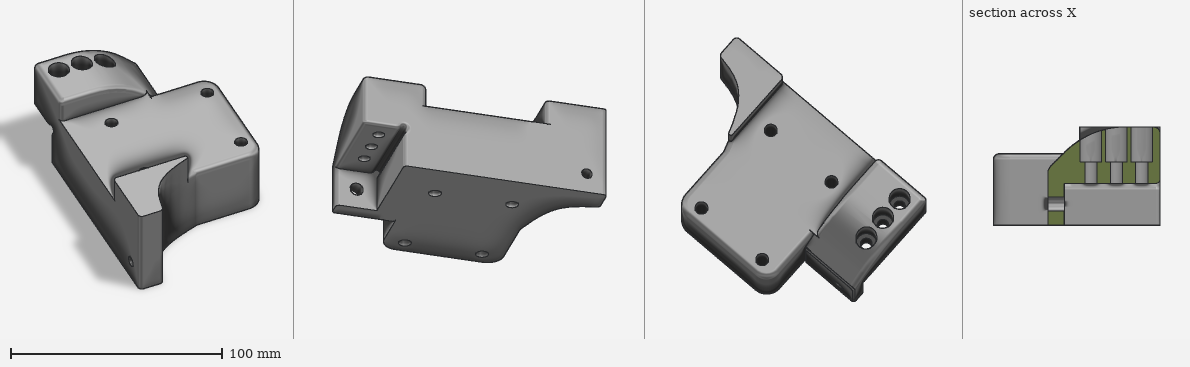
import cadquery as cq
import math

LENGTH = 120.0
DEPTH = 79.0
HEIGHT = 46.5
DECK_Z = 34.0

BODY_LEFT = 31.1
BODY_RIGHT = 90.0
BODY_END = 96.0
BODY_CORNER_RADIUS = 8.0
TOP_FILLET = 3.0
EDGE_FILLET = 2.0
TIP_FILLET = 1.0
BACK_CHAMFER = 1.0

FLANK_START = (BODY_RIGHT, 43.5)
FLANK_MIDDLE = [(93.7, 32.6), (101.6, 19.4)]
FLANK_END = (LENGTH, 12.4)
FLANK_START_DIRECTION = (1.0, -3.1)
FLANK_END_DIRECTION = (1.0, -0.15)
WING_DEPTH = 38.2

JOINT_OVERLAP = 3.6

BLOCK_DEPTH = 53.2
CREST_Y = 16.4
CREST_RADIUS = 40.8
SLOPE_ANGLE = math.radians(45)

POCKET_WIDTH = 19.9
POCKET_DEPTH = 45.4
POCKET_HEIGHT = 19.8
RELIEF_DIAMETER = 3.2
RELIEF_Z = POCKET_HEIGHT + 0.5
RELIEF_BLEND = 3.0
RIM_FILLET = 1.9

DECK_HOLE_DIAMETER = 6.0
DECK_HOLE_X = (41.5, 79.5)
DECK_HOLE_Y = (21.6, 71.5)
SIDE_HOLE_Z = 10.1
SIDE_HOLE_INSET = 10.0
WALL_HOLE_DIAMETER = 6.4
WING_HOLE_DIAMETER = 5.0
BLOCK_HOLE_DIAMETER = 5.5
COUNTERBORE_DIAMETER = 10.0
COUNTERBORE_FLOOR_Z = 30.0
BLOCK_HOLE_FIRST_Y = 8.8
BLOCK_HOLE_PITCH = 12.0
BLOCK_HOLE_COUNT = 3

SLOPE_TOP_Y = CREST_Y + CREST_RADIUS * math.sin(SLOPE_ANGLE)
SLOPE_TOP_Z = HEIGHT - CREST_RADIUS * (1 - math.cos(SLOPE_ANGLE))
SLOPE_FOOT_Z = SLOPE_TOP_Z - (BLOCK_DEPTH - SLOPE_TOP_Y) * math.tan(SLOPE_ANGLE)
DECK_MEETS_SLOPE_Y = SLOPE_TOP_Y + (SLOPE_TOP_Z - DECK_Z) / math.tan(SLOPE_ANGLE)


def box(x0, x1, y0, y1, z0, z1):
    """Axis-aligned box between two opposite corners."""
    return cq.Workplane("XY").box(x1 - x0, y1 - y0, z1 - z0, centered=False).translate((x0, y0, z0))


def edge_near(x, y, z):
    return cq.selectors.NearestToPointSelector((x, y, z))


def plan_prism(height):
    """Plan of the body and wing, extruded, with its upright edges rounded."""
    prism = (
        cq.Workplane("XY")
        .moveTo(BODY_LEFT, 0)
        .lineTo(LENGTH, 0)
        .lineTo(*FLANK_END)
        .spline(
            FLANK_MIDDLE[::-1] + [FLANK_START],
            tangents=[
                [-c for c in FLANK_END_DIRECTION],
                [-c for c in FLANK_START_DIRECTION],
            ],
            includeCurrent=True,
        )
        .lineTo(BODY_RIGHT, DEPTH)
        .lineTo(BODY_LEFT, DEPTH)
        .close()
        .extrude(height)
    )
    mid = height / 2
    for x, y in ((BODY_LEFT, DEPTH), (BODY_RIGHT, DEPTH)):
        prism = prism.edges(edge_near(x, y, mid)).fillet(BODY_CORNER_RADIUS)
    for x, y in ((LENGTH, 0), FLANK_END, FLANK_START):
        prism = prism.edges(edge_near(x, y, mid)).fillet(EDGE_FILLET)
    return prism


def make_body():
    """Body up to the deck, rounded along the left, back and flank; it ends inside the wing."""
    body = plan_prism(DECK_Z).intersect(box(BODY_LEFT, BODY_END, 0, DEPTH, 0, DECK_Z))
    back_edge = edge_near((BODY_LEFT + BODY_RIGHT) / 2, DEPTH, DECK_Z)
    return body.edges(back_edge).fillet(TOP_FILLET)


def make_wing():
    wing = plan_prism(HEIGHT).intersect(box(BODY_RIGHT, LENGTH, 0, WING_DEPTH, 0, HEIGHT))
    wing = wing.edges(edge_near(BODY_RIGHT, 0, HEIGHT / 2)).fillet(EDGE_FILLET)
    return wing.edges(edge_near(BODY_RIGHT, WING_DEPTH, HEIGHT / 2)).fillet(TIP_FILLET)


def make_sharp_block():
    half = SLOPE_ANGLE / 2
    crest_mid = (
        CREST_Y + CREST_RADIUS * math.sin(half),
        HEIGHT - CREST_RADIUS * (1 - math.cos(half)),
    )
    return (
        cq.Workplane("YZ")
        .lineTo(BLOCK_DEPTH, 0)
        .lineTo(BLOCK_DEPTH, SLOPE_FOOT_Z)
        .lineTo(SLOPE_TOP_Y, SLOPE_TOP_Z)
        .threePointArc(crest_mid, (CREST_Y, HEIGHT))
        .lineTo(0, HEIGHT)
        .close()
        .extrude(BODY_LEFT)
    )


def make_pocket():
    """Corner pocket with a round relief along its inner corner, blended into ceiling and wall."""
    relief = (
        cq.Workplane("XZ")
        .center(POCKET_WIDTH, RELIEF_Z)
        .circle(RELIEF_DIAMETER / 2)
        .extrude(-POCKET_DEPTH)
    )
    pocket = box(0, POCKET_WIDTH, 0, POCKET_DEPTH, 0, POCKET_HEIGHT).union(relief)
    ceiling_corner = edge_near(POCKET_WIDTH - RELIEF_DIAMETER / 2, POCKET_DEPTH / 2, POCKET_HEIGHT)
    wall_corner = edge_near(POCKET_WIDTH, POCKET_DEPTH / 2, POCKET_HEIGHT - RELIEF_DIAMETER / 2)
    return pocket.edges(ceiling_corner).fillet(RELIEF_BLEND).edges(wall_corner).fillet(RELIEF_BLEND)


def make_block():
    """Left block, hollowed by the pocket, with its rims and outer edges rounded in turn."""
    block = make_sharp_block().cut(make_pocket())
    ceiling_front = edge_near(POCKET_WIDTH / 2, 0, POCKET_HEIGHT)
    ceiling_side = edge_near(0, POCKET_DEPTH / 2, POCKET_HEIGHT)
    wall_side = edge_near(0, POCKET_DEPTH, POCKET_HEIGHT / 2)
    block = block.edges(ceiling_front).fillet(RIM_FILLET)
    block = block.edges(ceiling_side).fillet(RIM_FILLET)
    block = block.edges(wall_side).fillet(RIM_FILLET)

    block = block.edges(edge_near(BODY_LEFT, 0, HEIGHT / 2)).fillet(EDGE_FILLET)
    block = block.edges(edge_near(BODY_LEFT / 2, 0, HEIGHT)).fillet(TOP_FILLET)
    return block.edges(edge_near(BODY_LEFT / 2, BLOCK_DEPTH, SLOPE_FOOT_Z)).chamfer(BACK_CHAMFER)


def make_joint():
    """Solid fill that carries the unrounded body and slope across the side of the block."""
    inner_x = BODY_LEFT - JOINT_OVERLAP
    front = box(inner_x, BODY_LEFT + JOINT_OVERLAP, 0, DECK_MEETS_SLOPE_Y, 0, DECK_Z)
    back = box(inner_x, BODY_LEFT, DECK_MEETS_SLOPE_Y, BLOCK_DEPTH - BACK_CHAMFER, 0, DECK_Z)
    return front.union(back.intersect(make_sharp_block()))


def vertical_hole(x, y, diameter, bottom_z):
    return cq.Workplane("XY").center(x, y).circle(diameter / 2).extrude(HEIGHT).translate((0, 0, bottom_z))


def depth_hole(x, diameter):
    """Hole along Y through the full depth of the part."""
    return cq.Workplane("XZ").center(x, SIDE_HOLE_Z).circle(diameter / 2).extrude(-DEPTH)


result = make_block().union(make_joint()).union(make_body()).union(make_wing())

for hole_x in DECK_HOLE_X:
    for hole_y in DECK_HOLE_Y:
        result = result.cut(vertical_hole(hole_x, hole_y, DECK_HOLE_DIAMETER, 0))

for i in range(BLOCK_HOLE_COUNT):
    hole_y = BLOCK_HOLE_FIRST_Y + i * BLOCK_HOLE_PITCH
    result = result.cut(vertical_hole(SIDE_HOLE_INSET, hole_y, BLOCK_HOLE_DIAMETER, 0))
    result = result.cut(
        vertical_hole(SIDE_HOLE_INSET, hole_y, COUNTERBORE_DIAMETER, COUNTERBORE_FLOOR_Z)
    )

result = result.cut(depth_hole(SIDE_HOLE_INSET, WALL_HOLE_DIAMETER))
result = result.cut(depth_hole(LENGTH - SIDE_HOLE_INSET, WING_HOLE_DIAMETER))